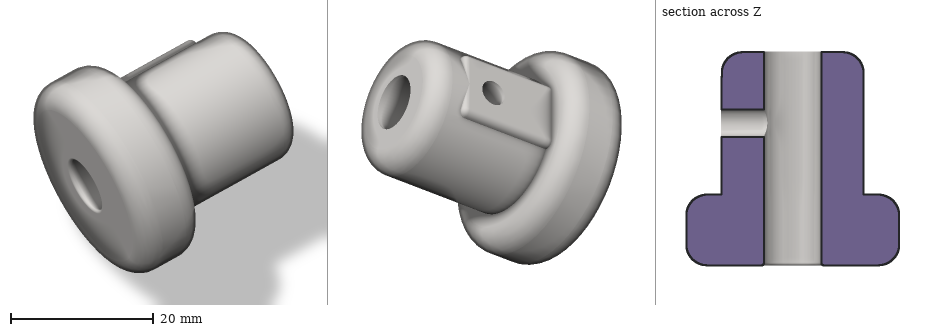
import cadquery as cq

length = 30.0
flange_diameter = 30.0
flange_thickness = length / 3
barrel_diameter = 20.0
rim_radius = 3.0

bore_diameter = 8.0
bore_edge_radius = 0.4

pad_width = barrel_diameter / 2
pad_end_gap = 5.0
pad_edge_radius = 0.9

cross_hole_diameter = 3.8
cross_hole_end_gap = 2 * pad_end_gap

front_y = -length / 2
back_y = length / 2
flange_back_y = front_y + flange_thickness
barrel_radius = barrel_diameter / 2


def cylinder_along_y(diameter, start_y, end_y):
    """Solid cylinder on the Y axis between two Y positions."""
    return (
        cq.Workplane("XZ", origin=(0, start_y, 0))
        .circle(diameter / 2)
        .extrude(start_y - end_y)
    )


def make_flange():
    flange = cylinder_along_y(flange_diameter, front_y, flange_back_y)
    return flange.edges("%CIRCLE").fillet(rim_radius)


def make_barrel():
    barrel = cylinder_along_y(barrel_diameter, front_y + rim_radius, back_y)
    return barrel.faces(">Y").edges().fillet(rim_radius)


def make_pad():
    """Flat pad tangent to the -X side of the barrel, running into the flange."""
    pad_front_y = flange_back_y - rim_radius
    pad_length = back_y - pad_end_gap - pad_front_y
    pad = cq.Workplane("XY").box(
        barrel_radius, pad_length, pad_width, centered=(False, False, True)
    ).translate((-barrel_radius, pad_front_y, 0))
    return pad.edges("<X or (|X and >Y)").fillet(pad_edge_radius)


def make_bore():
    """Through bore, flared by the rounded edge at the flange face."""
    bore_radius = bore_diameter / 2
    edge_y = front_y + bore_edge_radius
    mouth_radius = bore_radius + bore_edge_radius
    return (
        cq.Workplane("XY")
        .moveTo(0, front_y)
        .lineTo(mouth_radius, front_y)
        .radiusArc((bore_radius, edge_y), bore_edge_radius)
        .lineTo(bore_radius, back_y)
        .lineTo(0, back_y)
        .close()
        .revolve(360, (0, 0, 0), (0, 1, 0))
    )


def make_cross_hole():
    """Radial hole from the pad face into the bore."""
    return (
        cq.Workplane("YZ", origin=(-barrel_radius, 0, 0))
        .center(back_y - cross_hole_end_gap, 0)
        .circle(cross_hole_diameter / 2)
        .extrude(barrel_radius)
    )


body = make_flange().union(make_barrel()).union(make_pad())
result = body.cut(make_bore()).cut(make_cross_hole())